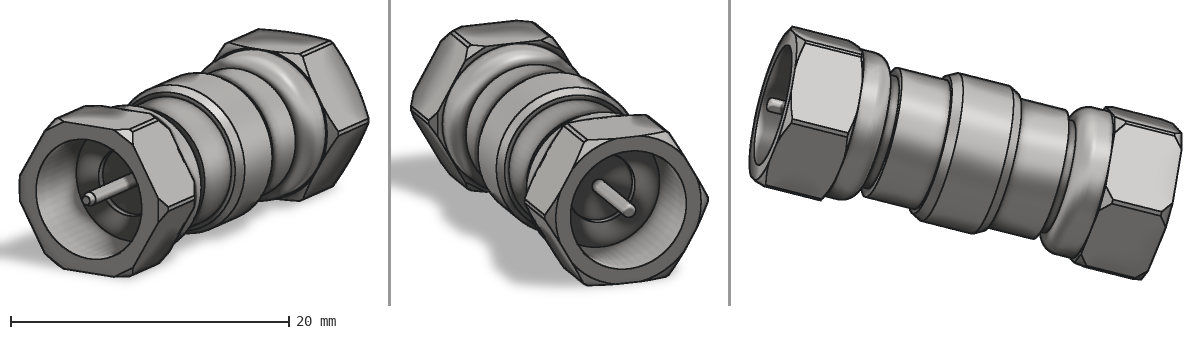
import cadquery as cq
import math

overall_length = 29.77
half_length = overall_length / 2
pin_protrusion = 0.4

nut_across_flats = 11.0
nut_across_corners = 12.5
nut_length = 5.05
nut_outer_y = half_length - pin_protrusion
nut_inner_y = nut_outer_y - nut_length
flat_chamfer_radius = 5.8
flat_chamfer_length = 0.68
cone_chamfer_radius = 5.57
cone_chamfer_length = 0.42

collar_radius = 5.45
collar_round = 1.22
groove_radius = 4.17
groove_width = 0.7
collar_inner_y = 7.03
shoulder_radius = 4.8
shoulder_outer_y = collar_inner_y - groove_width
band_radius = nut_across_flats / 2
band_edge_radius = 5.12
band_half_length = 2.62
band_chamfer_length = 0.7

bore_radius = 4.45
bore_depth = 5.6
recess_radius = 2.55
recess_depth = 0.6
bore_floor_y = nut_outer_y - bore_depth
recess_floor_y = bore_floor_y - recess_depth
pin_radius = 0.5
pin_taper = 0.18
pin_taper_length = 0.5
pin_round = 0.27


def cylinder(radius, start_y, end_y):
    """Cylinder on the Y axis between two stations."""
    plane = cq.Plane(origin=(0, start_y, 0), xDir=(1, 0, 0), normal=(0, 1, 0))
    return cq.Workplane(plane).circle(radius).extrude(end_y - start_y)


def revolve_about_y(outline):
    """Revolve a closed XY outline about the Y axis."""
    return outline.close().revolve(360, (0, 0, 0), (0, 1, 0))


def body_core():
    """Collars, grooves, shoulders and central band as one turned solid."""
    core = cylinder(groove_radius, -collar_inner_y, collar_inner_y)
    core = core.union(cylinder(shoulder_radius, -shoulder_outer_y, shoulder_outer_y))
    band_flat_y = band_half_length - band_chamfer_length
    band = revolve_about_y(
        cq.Workplane("XY")
        .moveTo(0, -band_half_length)
        .lineTo(band_edge_radius, -band_half_length)
        .lineTo(band_radius, -band_flat_y)
        .lineTo(band_radius, band_flat_y)
        .lineTo(band_edge_radius, band_half_length)
        .lineTo(0, band_half_length)
    )
    core = core.union(band)
    collar = cylinder(collar_radius, collar_inner_y, nut_inner_y).faces("<Y").edges().fillet(collar_round)
    return core.union(collar).union(collar.mirror("XZ"))


def hexagon(across_flats, start_y, end_y, turn=0):
    """Hexagonal prism along Y; its corners lie on X when not turned."""
    plane = cq.Plane(origin=(0, start_y, 0), xDir=(1, 0, 0), normal=(0, 1, 0))
    across_corners = across_flats / math.cos(math.radians(30))
    prism = cq.Workplane(plane).polygon(6, across_corners).extrude(end_y - start_y)
    return prism.rotate((0, 0, 0), (0, 1, 0), turn)


def blunted_hexagon(start_y, end_y):
    """Nut blank whose six corners end in narrow flats."""
    blank = hexagon(nut_across_flats, start_y, end_y)
    return blank.intersect(hexagon(nut_across_corners, start_y, end_y, turn=30))


def flat_chamfered_nut():
    """Front nut: a flat chamfer across each corner at both ends."""
    nut = blunted_hexagon(-nut_outer_y, -nut_inner_y)
    corner_radius = nut_across_corners / 2
    envelope = (
        cq.Workplane("XY")
        .moveTo(-flat_chamfer_radius, -nut_outer_y)
        .lineTo(flat_chamfer_radius, -nut_outer_y)
        .lineTo(corner_radius, -nut_outer_y + flat_chamfer_length)
        .lineTo(corner_radius, -nut_inner_y - flat_chamfer_length)
        .lineTo(flat_chamfer_radius, -nut_inner_y)
        .lineTo(-flat_chamfer_radius, -nut_inner_y)
        .lineTo(-corner_radius, -nut_inner_y - flat_chamfer_length)
        .lineTo(-corner_radius, -nut_outer_y + flat_chamfer_length)
        .close()
        .extrude(nut_across_corners, both=True)
    )
    for turn in (0, 60, 120):
        nut = nut.intersect(envelope.rotate((0, 0, 0), (0, 1, 0), turn))
    return nut


def cone_chamfered_nut():
    """Rear nut: conical chamfers at both ends, leaving curved edges on the flats."""
    corner_radius = nut_across_corners / 2
    slope = cone_chamfer_length / (corner_radius - cone_chamfer_radius)
    clear_radius = nut_across_corners / math.sqrt(3)
    cone_length = (clear_radius - cone_chamfer_radius) * slope
    envelope = revolve_about_y(
        cq.Workplane("XY")
        .moveTo(0, nut_inner_y)
        .lineTo(cone_chamfer_radius, nut_inner_y)
        .lineTo(clear_radius, nut_inner_y + cone_length)
        .lineTo(clear_radius, nut_outer_y - cone_length)
        .lineTo(cone_chamfer_radius, nut_outer_y)
        .lineTo(0, nut_outer_y)
    )
    return blunted_hexagon(nut_inner_y, nut_outer_y).intersect(envelope)


def socket():
    """Rear socket cavity, with a round recess in its floor."""
    bore = cylinder(bore_radius, bore_floor_y, nut_outer_y)
    return bore.union(cylinder(recess_radius, recess_floor_y, bore_floor_y))


def tapered_pin():
    """Front pin with a long conical tip."""
    pin = cylinder(pin_radius, -half_length, -recess_floor_y)
    return pin.faces("<Y").chamfer(pin_taper_length, pin_taper)


def rounded_pin():
    """Rear pin with a rounded tip."""
    return cylinder(pin_radius, recess_floor_y, half_length).faces(">Y").edges().fillet(pin_round)


result = body_core().union(flat_chamfered_nut()).union(cone_chamfered_nut())
result = result.cut(socket()).cut(socket().mirror("XZ"))
result = result.union(tapered_pin()).union(rounded_pin())